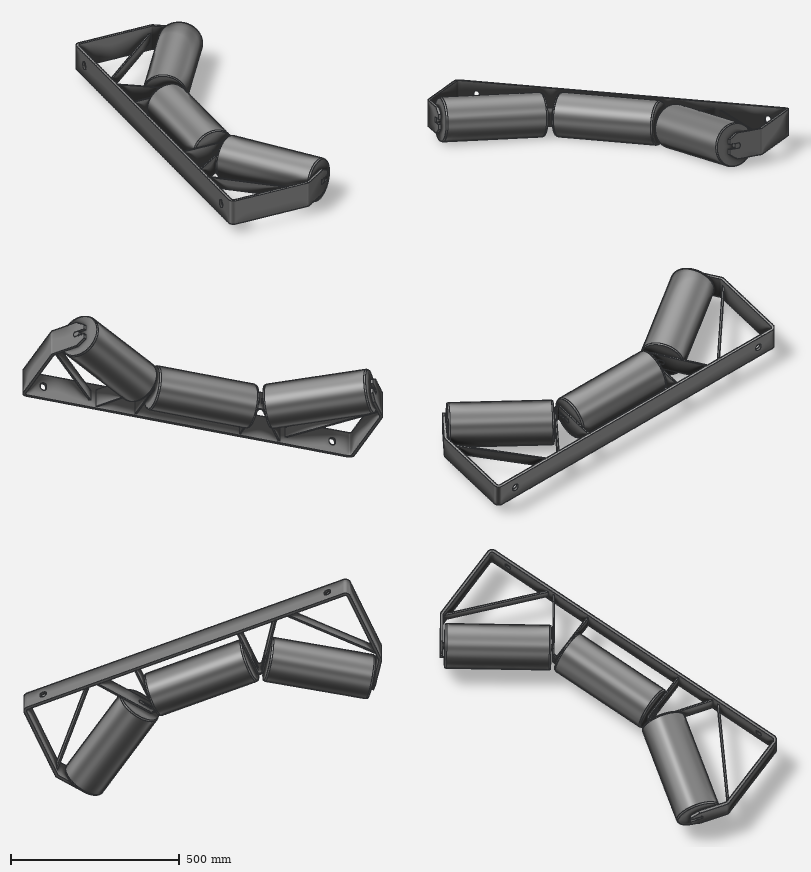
import cadquery as cq
import math

frame_length = 1050.0
frame_height = 80.0
frame_thickness = 8.0
frame_bend_radius = 16.0
wing_reach = 28.0
wing_chamfer_length = 27.0
wing_chamfer_height = 17.0
mount_slot_width = 20.0
mount_slot_height = 25.0
mount_slot_x = 458.0

roller_diameter = 133.0
roller_length = 315.0
rim_bevel_length = 5.0
rim_bevel_depth = 2.0
shaft_diameter = 20.0
shaft_flats = 16.0
centre_roller_y = 125.0
centre_roller_z = -6.0
side_roller_x = 334.0
side_roller_y = 232.0
side_roller_z = -3.0
trough_angle = 35.0
tilt_angle = 1.2
end_gap = 5.0

bracket_thickness = 4.7
bracket_height = 57.0
bracket_top = 167.0
bracket_bend_radius = 8.0

brace_thickness = 5.0
brace_height = 34.0
brace_foot_x = 308.0
brace_head_y = 250.0

support_face = roller_length / 2 + end_gap
bracket_back = support_face + bracket_thickness
wing_back = support_face + frame_thickness

slot_depth = roller_diameter / 2
slot_overcut = 1.0

cos_trough = math.cos(math.radians(trough_angle))
sin_trough = math.sin(math.radians(trough_angle))



def side_point(along, across):
    """XY point at a distance along the axis (outward) and across it (upward)."""
    x = side_roller_x + along * cos_trough - across * sin_trough
    y = side_roller_y + along * sin_trough + across * cos_trough
    return (x, y)


def side_point_at_x(along, x):
    across = (side_roller_x + along * cos_trough - x) / sin_trough
    return side_point(along, across)


def side_point_at_y(along, y):
    across = (y - side_roller_y - along * sin_trough) / cos_trough
    return side_point(along, across)


def place_centre(body):
    return body.translate((0, centre_roller_y, centre_roller_z))


def place_side(body):
    """Move a body lying along X to the right-hand side roller axis."""
    tilted = body.rotate((0, 0, 0), (0, 1, 0), -tilt_angle)
    turned = tilted.rotate((0, 0, 0), (0, 0, 1), trough_angle)
    return turned.translate((side_roller_x, side_roller_y, side_roller_z))



def plate(outline, height):
    """A bent bar: its plan outline, thickened equally up and down."""
    return cq.Workplane("XY").polyline(outline).close().extrude(height / 2, both=True)


def round_corner(body, point, radius):
    corner = cq.selectors.NearestToPointSelector((point[0], point[1], 0))
    return body.edges(corner).fillet(radius)


def flatted_shaft(start, end):
    """A round bar along X with a flat above and a flat below."""
    length = end - start
    bar = cq.Workplane("YZ", origin=(start, 0, 0)).circle(shaft_diameter / 2).extrude(length)
    between_flats = cq.Workplane("XY", origin=((start + end) / 2, 0, 0))
    return bar.intersect(between_flats.box(length, shaft_diameter, shaft_flats))


def shaft_slot(start, end):
    """Cutter that fits around the shaft and opens towards +Y."""
    channel = cq.Workplane("XY", origin=(start, 0, 0)).box(
        end - start, slot_depth, shaft_flats, centered=(False, False, True)
    )
    return channel.union(flatted_shaft(start, end))



def make_roller(left_end, right_end):
    """A drum with bevelled rims, and its shaft reaching the given distance each way."""
    half = roller_length / 2
    radius = roller_diameter / 2
    drum = cq.Workplane("XY").polyline([
        (-half, 0),
        (-half, radius - rim_bevel_depth),
        (-half + rim_bevel_length, radius),
        (half - rim_bevel_length, radius),
        (half, radius - rim_bevel_depth),
        (half, 0),
    ]).close().revolve(360, (0, 0, 0), (1, 0, 0))
    return drum.union(flatted_shaft(-left_end, right_end))


def wing_corner_cutter():
    """The two triangles taken off the right-hand wing tip."""
    x, y = side_point(support_face, 0)
    wing_face = cq.Plane(
        origin=(x, y, 0),
        xDir=(-sin_trough, cos_trough, 0),
        normal=(cos_trough, sin_trough, 0),
    )
    cutter = cq.Workplane(wing_face)
    for side in (1, -1):
        cutter = cutter.polyline([
            (wing_reach - wing_chamfer_length, side * frame_height / 2),
            (wing_reach, side * frame_height / 2),
            (wing_reach, side * (frame_height / 2 - wing_chamfer_height)),
        ]).close()
    return cutter.extrude(frame_thickness)


def make_frame():
    outer_foot = (frame_length / 2, 0)
    inner_foot = (frame_length / 2 - frame_thickness, frame_thickness)
    outer_bend = side_point_at_x(wing_back, outer_foot[0])
    inner_bend = side_point_at_x(support_face, inner_foot[0])
    outer_tip = side_point(wing_back, wing_reach)
    inner_tip = side_point(support_face, wing_reach)
    right = [outer_foot, outer_bend, outer_tip, inner_tip, inner_bend, inner_foot]
    left = [(-x, y) for x, y in reversed(right)]
    frame = plate(right + left, frame_height)

    for side in (1, -1):
        for x, y in (outer_foot, outer_bend):
            frame = round_corner(frame, (side * x, y), frame_bend_radius)
        for x, y in (inner_foot, inner_bend):
            frame = round_corner(frame, (side * x, y), frame_bend_radius - frame_thickness)

    wing_slot = place_side(shaft_slot(support_face - slot_overcut, wing_back + slot_overcut))
    for cutter in (wing_corner_cutter(), wing_slot):
        frame = frame.cut(cutter).cut(cutter.mirror("YZ"))

    mount_slots = cq.Workplane("XZ").pushPoints([(-mount_slot_x, 0), (mount_slot_x, 0)])
    mount_slots = mount_slots.slot2D(mount_slot_height, mount_slot_width, 90)
    return frame.cut(mount_slots.extrude(-frame_thickness))


def make_bracket():
    """The right-hand bracket: an upright leg, a short top and an inclined leg."""
    foot_y = frame_thickness
    inner_top = bracket_top - bracket_thickness
    outer_upright = (support_face, bracket_top)
    outer_inclined = side_point_at_y(-support_face, bracket_top)
    inner_upright = (bracket_back, inner_top)
    inner_inclined = side_point_at_y(-bracket_back, inner_top)
    bracket = plate([
        (support_face, foot_y),
        outer_upright,
        outer_inclined,
        side_point_at_y(-support_face, foot_y),
        side_point_at_y(-bracket_back, foot_y),
        inner_inclined,
        inner_upright,
        (bracket_back, foot_y),
    ], bracket_height)

    for point in (outer_upright, outer_inclined):
        bracket = round_corner(bracket, point, bracket_bend_radius)
    for point in (inner_upright, inner_inclined):
        bracket = round_corner(bracket, point, bracket_bend_radius - bracket_thickness)

    bracket = bracket.translate((0, 0, centre_roller_z))
    upright_slot = place_centre(shaft_slot(support_face, bracket_back))
    inclined_slot = place_side(shaft_slot(-bracket_back - slot_overcut, -support_face + slot_overcut))
    return bracket.cut(upright_slot).cut(inclined_slot)


def make_brace():
    """The right-hand brace, cut to lie flat on the frame's base and side wall."""
    foot_y = frame_thickness
    head_x = frame_length / 2 - frame_thickness
    run = head_x - brace_foot_x
    rise = brace_head_y - foot_y
    length = math.hypot(run, rise)
    return plate([
        (brace_foot_x, foot_y),
        (head_x, brace_head_y),
        (head_x, brace_head_y - brace_thickness * length / run),
        (brace_foot_x + brace_thickness * length / rise, foot_y),
    ], brace_height)



frame = make_frame()
centre_roller = place_centre(make_roller(bracket_back, bracket_back))
side_roller = place_side(make_roller(bracket_back, wing_back))
bracket = make_bracket()
brace = make_brace()

bodies = [frame.solids().val(), centre_roller.solids().val()]
for right_body in (side_roller, bracket, brace):
    bodies.append(right_body.solids().val())
    bodies.append(right_body.mirror("YZ").solids().val())

result = cq.Compound.makeCompound(bodies)